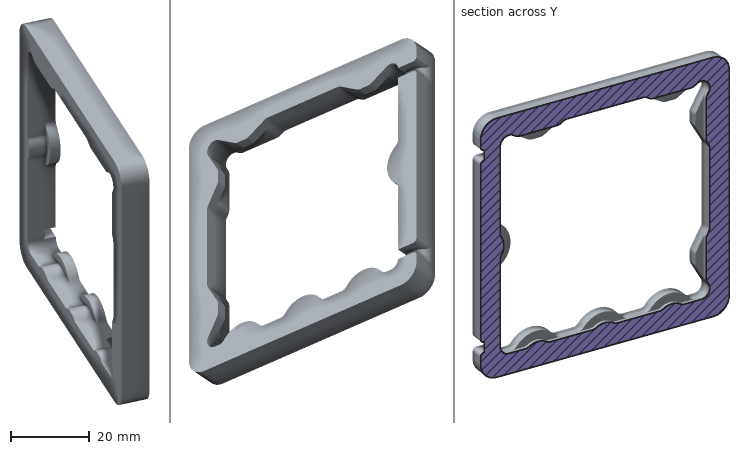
import cadquery as cq
import math

SIDE = 74.4
DEPTH = 7.6
WALL = 6.0
OUTER_RADIUS = 5.0
INNER_RADIUS = 2.5
INNER_HALF = SIDE / 2 - WALL
BACK_Y = DEPTH / 2

BUMP_PITCH = 20.0
LOW_HEIGHT = 1.1
HIGH_HEIGHT = 3.6
RIB_THICKNESS = 2.8
FOOT_RADIUS = 2.0
ROOT_OVERLAP = 1.0

ROUND_HIGH_RADIUS = 7.2
ROUND_LOW_RADIUS = ROUND_HIGH_RADIUS - (HIGH_HEIGHT - LOW_HEIGHT)

FLAT_SLOPE = math.radians(30.0)
FLAT_FOOT_HALF = 8.05
FLAT_CREST_RADIUS = 2.0

SLOT_Z = 27.5
SLOT_MOUTH_WIDTH = 5.1
SLOT_THROAT_WIDTH = 2.9
SLOT_MOUTH_LENGTH = 6.1
SLOT_THROAT_LENGTH = 3.0
SIDE_FLARE = (SLOT_MOUTH_WIDTH - SLOT_THROAT_WIDTH) / 2
END_FLARE = SLOT_MOUTH_LENGTH - SLOT_THROAT_LENGTH

BOTTOM, LEFT, TOP, RIGHT = 0, 90, 180, 270
ROUND_PLACES = [(BOTTOM, -BUMP_PITCH), (BOTTOM, 0), (BOTTOM, BUMP_PITCH), (LEFT, 0)]
FLAT_PLACES = [(wall, along) for wall in (TOP, RIGHT) for along in (-BUMP_PITCH, BUMP_PITCH)]


def square_bar(side, radius):
    """Solid square bar with rounded corners, as deep as the frame."""
    return cq.Workplane("XY").box(side, DEPTH, side).edges("|Y").fillet(radius)


def bump(height, slope, crest_half, crest_radius, thickness):
    """Bump on the bottom wall at X = 0, flush with the back: crest, flanks and foot fillets."""
    mid_slope = slope / 2

    def crest_point(turn):
        return crest_half + crest_radius * math.sin(turn), height - crest_radius * (1 - math.cos(turn))

    flank_top = crest_point(slope)
    foot_rise = FOOT_RADIUS * (1 - math.cos(slope))
    flank_bottom_x = flank_top[0] + (flank_top[1] - foot_rise) / math.tan(slope)
    foot_end_x = flank_bottom_x + FOOT_RADIUS * math.sin(slope)
    foot_middle = (
        foot_end_x - FOOT_RADIUS * math.sin(mid_slope),
        FOOT_RADIUS * (1 - math.cos(mid_slope)),
    )

    def left(point):
        return -point[0], point[1]

    outline = (
        cq.Workplane("XZ", origin=(0, BACK_Y, -INNER_HALF))
        .moveTo(-foot_end_x, -ROOT_OVERLAP)
        .lineTo(-foot_end_x, 0)
        .threePointArc(left(foot_middle), (-flank_bottom_x, foot_rise))
    )
    has_flat = crest_half > 0
    if has_flat:
        outline = (
            outline.lineTo(*left(flank_top))
            .threePointArc(left(crest_point(mid_slope)), (-crest_half, height))
            .lineTo(crest_half, height)
            .threePointArc(crest_point(mid_slope), flank_top)
            .lineTo(flank_bottom_x, foot_rise)
        )
    else:
        outline = outline.threePointArc((0, height), (flank_bottom_x, foot_rise))
    return (
        outline.threePointArc(foot_middle, (foot_end_x, 0))
        .lineTo(foot_end_x, -ROOT_OVERLAP)
        .close()
        .extrude(thickness)
    )


def round_bump():
    """Low round bump with a taller concentric rib at the back."""

    def step(height, radius, thickness):
        tangent_slope = math.acos(1 - height / (radius + FOOT_RADIUS))
        return bump(height, tangent_slope, 0, radius, thickness)

    low = step(LOW_HEIGHT, ROUND_LOW_RADIUS, DEPTH)
    return low.union(step(HIGH_HEIGHT, ROUND_HIGH_RADIUS, RIB_THICKNESS))


def flat_bump():
    """Low flat-topped bump with a taller rib on the same flanks at the back."""

    def step(height, thickness):
        flank_run = height / math.tan(FLAT_SLOPE)
        crest_half = FLAT_FOOT_HALF - flank_run - FLAT_CREST_RADIUS * math.tan(FLAT_SLOPE / 2)
        return bump(height, FLAT_SLOPE, crest_half, FLAT_CREST_RADIUS, thickness)

    return step(LOW_HEIGHT, DEPTH).union(step(HIGH_HEIGHT, RIB_THICKNESS))


def place(shape, wall, along):
    """Slide a bottom-wall shape along X, then turn it onto the given wall."""
    return shape.translate((along, 0, 0)).rotate((0, 0, 0), (0, 1, 0), wall)


def slot_cutter():
    """Slot at Z = 0 whose front end and two sides flare out to the outer face in round arcs."""
    outer_x = -SIDE / 2
    inner_x = -INNER_HALF + ROOT_OVERLAP
    bulge = 1 - math.cos(math.pi / 4)

    throat_y = BACK_Y - SLOT_THROAT_LENGTH
    end_profile = (
        cq.Workplane("XY", origin=(0, 0, -SLOT_MOUTH_WIDTH / 2))
        .moveTo(outer_x, BACK_Y)
        .lineTo(outer_x, throat_y - END_FLARE)
        .threePointArc(
            (outer_x + END_FLARE * bulge, throat_y - END_FLARE * bulge),
            (outer_x + END_FLARE, throat_y),
        )
        .lineTo(inner_x, throat_y)
        .lineTo(inner_x, BACK_Y)
        .close()
        .extrude(SLOT_MOUTH_WIDTH)
    )

    throat_z = SLOT_THROAT_WIDTH / 2
    flare_x = outer_x + SIDE_FLARE
    arc_x = outer_x + SIDE_FLARE * bulge
    arc_z = throat_z + SIDE_FLARE * bulge
    side_profile = (
        cq.Workplane("XZ", origin=(0, BACK_Y, 0))
        .moveTo(outer_x, -SLOT_MOUTH_WIDTH / 2)
        .threePointArc((arc_x, -arc_z), (flare_x, -throat_z))
        .lineTo(inner_x, -throat_z)
        .lineTo(inner_x, throat_z)
        .lineTo(flare_x, throat_z)
        .threePointArc((arc_x, arc_z), (outer_x, SLOT_MOUTH_WIDTH / 2))
        .close()
        .extrude(SLOT_MOUTH_LENGTH)
    )
    return end_profile.intersect(side_profile)


result = square_bar(SIDE, OUTER_RADIUS).cut(square_bar(2 * INNER_HALF, INNER_RADIUS))
for wall, along in ROUND_PLACES:
    result = result.union(place(round_bump(), wall, along))
for wall, along in FLAT_PLACES:
    result = result.union(place(flat_bump(), wall, along))
for slot_z in (-SLOT_Z, SLOT_Z):
    result = result.cut(slot_cutter().translate((0, 0, slot_z)))